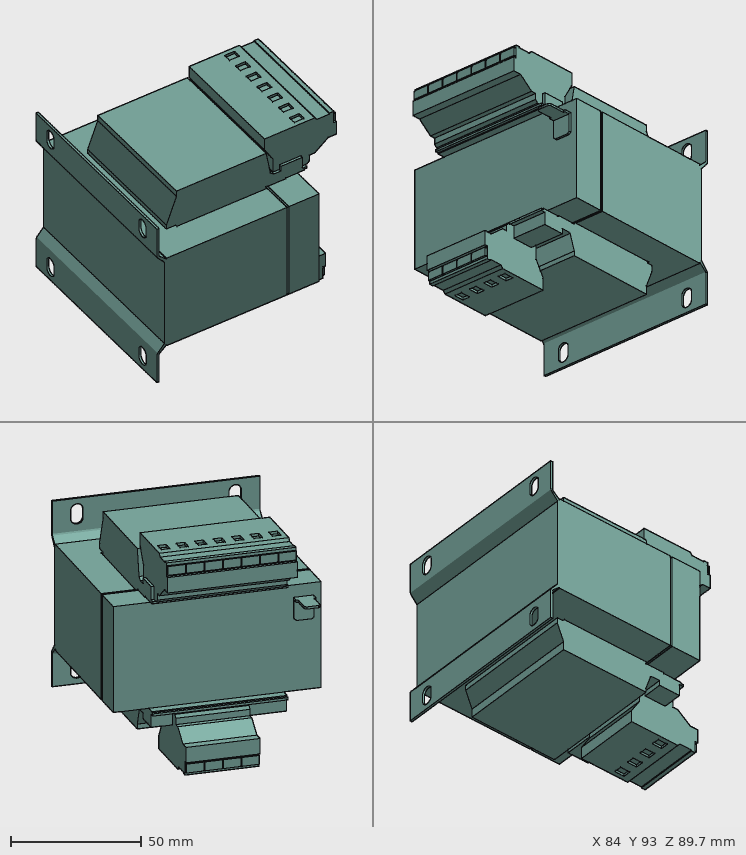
import cadquery as cq
import math


core_width = 84.0
core_depth = 43.55
core_front = 4.5
core_back = 74.6
window_half_width = 28.2
window_front = 18.3
window_back = 59.9
shim_thickness = 0.8
shim_recess = 0.2

coil_width = 54.7
coil_front = 18.7
coil_back = window_back
bobbin_back = 78.7
rail_front = 66.7
rail_back = 76.7
rail_height = 28.9
saddle_front = 63.5
saddle_height = 26.6
lip_bottom = 22.6
lip_top = 23.5
lip_length = 1.2
core_clearance = 0.4
clearance_front = 68.95

block_width = 15.0
terminal_pitch = block_width / 2
block_height = 44.85
block_front = coil_back
block_back = 93.05
block_front_bottom = 39.45
heel_y = 63.9
heel_z = 32.9
throat_y = 83.0
throat_z = 27.4
toe_y = 80.7
toe_z = 24.75
toe_chamfer = 1.1
chin_y = 89.2
chin_z = 32.2
nose_top = 38.5
ridge_front = 89.9
ridge_top = 44.1
step_back = 84.0
step_height = 43.6
step_front = 83.0
window_size_x = 3.4
window_size_y = 4.6
window_center_y = 77.2
window_depth = 1.1
tab_gap = 0.5
tab_back = 92.7
tab_bottom = 39.3
tab_top = 42.9
tab_root = 91.75

plate_thickness = 1.0
plate_half_height = 38.15
plate_face = core_front - plate_thickness
web_half_height = 20.2
web_bend_rise = 1.1
bend_start = 24.9
bend_radius = 2.4
bend_angle = math.radians(40)
slot_width = 5.0
slot_length = 8.3
slot_spacing_x = 64.0
slot_spacing_z = 63.4

tag_center_x = -34.9
tag_base_width = 8.1
tag_blade_width = 6.4
tag_thickness = 0.9
tag_top = 16.7
tag_bottom = 7.35
tag_shoulder = 77.9
tag_tip = 85.9
tag_chamfer = 0.8


def box(x_range, y_range, z_range):
    """Axis-aligned box from its low and high limits."""
    sizes = [high - low for low, high in (x_range, y_range, z_range)]
    corner = (x_range[0], y_range[0], z_range[0])
    return cq.Workplane("XY").box(*sizes, centered=False).translate(corner)


def extrude_profile(points, x_start, x_end):
    """Extrude a closed outline of (y, z) points along X."""
    return cq.Workplane("YZ", origin=(x_start, 0, 0)).polyline(points).close().extrude(x_end - x_start)


def make_core():
    half_width = core_width / 2
    half_depth = core_depth / 2
    core = box((-half_width, half_width), (core_front, core_back), (-half_depth, half_depth))
    for side in (-1, 1):
        x_range = sorted((side * coil_width / 2, side * window_half_width))
        core = core.cut(box(x_range, (window_front, window_back), (-half_depth, half_depth)))
    shim_range = (window_back, window_back + shim_thickness)
    groove = box((-half_width, half_width), shim_range, (-half_depth, half_depth))
    shim_half_width = half_width - shim_recess
    shim_half_depth = half_depth - shim_recess
    shim = box((-shim_half_width, shim_half_width), shim_range, (-shim_half_depth, shim_half_depth))
    return core.cut(groove).union(shim)


def make_bobbin(coil_height, shoulder_height, foot_height, foot_front, saddle_points):
    """Coil on top of the core, with the bobbin end that carries the terminal blocks.

    `saddle_points` are the (y, z) points from the back of the coil down to the saddle.
    """
    core_top = core_depth / 2
    clearance_top = core_top + core_clearance
    outline = [
        (foot_front, core_top),
        (foot_front, foot_height),
        (coil_front, shoulder_height),
        (coil_front, coil_height),
        (coil_back, coil_height),
        *saddle_points,
        (rail_front, saddle_height),
        (rail_front, rail_height),
        (rail_back, rail_height),
        (rail_back, lip_top),
        (bobbin_back, lip_top),
        (bobbin_back, lip_bottom),
        (bobbin_back - lip_length, lip_bottom),
        (bobbin_back - lip_length, clearance_top),
        (clearance_front, clearance_top),
        (clearance_front, core_top),
    ]
    return extrude_profile(outline, -coil_width / 2, coil_width / 2)


def make_terminal_row(first, count):
    """Row of `count` terminals joined side by side; the first is centred `first` pitches from X = 0."""
    x_start = (first - 0.5) * terminal_pitch
    outline = [
        (block_front, block_height),
        (block_front, block_front_bottom),
        (heel_y, heel_z),
        (heel_y, saddle_height),
        (rail_front, saddle_height),
        (rail_back, lip_top),
        (toe_y - toe_chamfer, lip_top),
        (toe_y, toe_z),
        (toe_y, throat_z),
        (throat_y, throat_z),
        (chin_y, chin_z),
        (block_back, chin_z),
        (block_back, nose_top),
        (tab_root, nose_top),
        (tab_root, ridge_top),
        (ridge_front, ridge_top),
        (ridge_front, step_height),
        (step_back, step_height),
        (step_front, block_height),
    ]
    row = extrude_profile(outline, x_start, x_start + count * terminal_pitch)
    for index in range(count):
        center_x = (first + index) * terminal_pitch
        pocket = box(
            (center_x - window_size_x / 2, center_x + window_size_x / 2),
            (window_center_y - window_size_y / 2, window_center_y + window_size_y / 2),
            (block_height - window_depth, block_height),
        )
        tab_half_width = (terminal_pitch - tab_gap) / 2
        tab = box(
            (center_x - tab_half_width, center_x + tab_half_width),
            (tab_root, tab_back),
            (tab_bottom, tab_top),
        )
        row = row.cut(pocket).union(tab)
    return row


def make_foot_plate():
    half_width = core_width / 2
    web = box((-half_width, half_width), (plate_face, core_front), (-web_half_height, web_half_height))
    inner_radius = bend_radius - plate_thickness

    def on_bend(radius, angle):
        return (bend_radius - radius * math.cos(angle), bend_start - radius * math.sin(angle))

    slope_web = (plate_face, web_half_height)
    slope_core = (core_front, web_half_height + web_bend_rise)
    flange = (
        cq.Workplane("YZ", origin=(-half_width, 0, 0))
        .moveTo(0, plate_half_height)
        .lineTo(*on_bend(bend_radius, 0))
        .threePointArc(on_bend(bend_radius, bend_angle / 2), on_bend(bend_radius, bend_angle))
        .lineTo(*slope_web)
        .lineTo(core_front, web_half_height)
        .lineTo(*slope_core)
        .lineTo(*on_bend(inner_radius, bend_angle))
        .threePointArc(on_bend(inner_radius, bend_angle / 2), on_bend(inner_radius, 0))
        .lineTo(plate_thickness, plate_half_height)
        .close()
        .extrude(core_width)
    )
    slots = (
        cq.Workplane("XZ")
        .rarray(slot_spacing_x, slot_spacing_z, 2, 2)
        .slot2D(slot_length, slot_width, 90)
        .extrude(-plate_thickness)
    )
    return web.union(flange).union(flange.mirror("XY")).cut(slots)


def make_tag_strip(length, width):
    """Flat strip along +Y from the origin, with chamfered corners at its far end."""
    strip = cq.Workplane("XY").box(width, length, tag_thickness, centered=(True, False, False))
    return strip.edges("|Z and >Y").chamfer(tag_chamfer)


def make_earth_tag():
    blade = make_tag_strip(tag_tip - core_back, tag_blade_width)
    base = cq.Workplane("XY").box(
        tag_base_width, tag_shoulder - core_back, tag_thickness, centered=(True, False, False)
    )
    leg = make_tag_strip(tag_top - tag_bottom, tag_base_width).rotate((0, 0, 0), (1, 0, 0), -90)
    horizontal = blade.union(base).translate((tag_center_x, core_back, tag_top - tag_thickness))
    return horizontal.union(leg.translate((tag_center_x, core_back, tag_top)))


upper_bobbin = make_bobbin(
    coil_height=38.5,
    shoulder_height=35.9,
    foot_height=23.7,
    foot_front=14.05,
    saddle_points=[(62.0, 27.7), (saddle_front, saddle_height)],
)
lower_bobbin = make_bobbin(
    coil_height=35.7,
    shoulder_height=31.8,
    foot_height=24.2,
    foot_front=15.5,
    saddle_points=[(coil_back, 33.7), (62.25, 26.9), (saddle_front, saddle_height)],
)

result = (
    make_core()
    .union(upper_bobbin)
    .union(lower_bobbin.mirror("XY"))
    .union(make_terminal_row(first=-3, count=7))
    .union(make_terminal_row(first=-1, count=4).mirror("XY"))
    .union(make_foot_plate())
    .union(make_earth_tag())
)